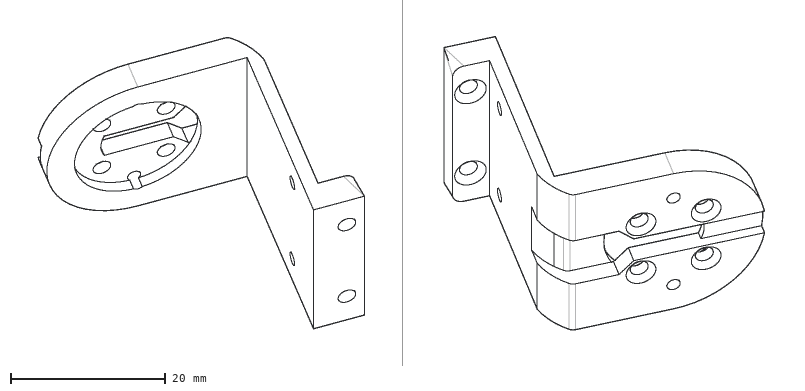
import cadquery as cq
import math

length_x = 30.6
length_y = 34.5
height = 25.0

plate = 4.0
web = 2.0
web_back = 29.5
web_front = web_back - web
bend_start = 26.22
bend_end = 5.0
bend_radius = 10.0
bend_edge_fillet = 1.2
end_radius = height / 2

small_hole = 1.8
screw_hole = 2.4
small_hole_z = 8.0
plate_screw_offset = 4.4
plate_sink = 4.05
web_hole_x = 22.1
lip_screw_y = 32.1
lip_screw_z = 7.52
lip_sink = 4.28
sink_angle = 90

wide_groove = 8.0
narrow_groove = wide_groove / 2
deep_depth = 2.5
shallow_depth = 1.35
taper_start = 19.9
taper_end = taper_start - (wide_groove - narrow_groove) / 2
hub_radius = 4.55
recess_radius = 8.7

lip_corner_radius = 1.52
corner_tip_scale = 0.01


def bend_middle():
    """Point halfway along the convex bend arc."""
    rise = web_back - bend_start
    chord = math.hypot(bend_end, rise)
    bulge = bend_radius - math.sqrt(bend_radius**2 - (chord / 2) ** 2)
    return (bend_end / 2 - bulge * rise / chord, bend_start + rise / 2 + bulge * bend_end / chord)


def make_body():
    """L-shaped profile with its lip, extruded over the full height."""
    body = (
        cq.Workplane("XY").workplane(offset=-height / 2)
        .moveTo(0, 0)
        .lineTo(plate, 0)
        .lineTo(plate, web_front)
        .lineTo(length_x, web_front)
        .lineTo(length_x, length_y)
        .lineTo(length_x - plate, length_y)
        .lineTo(length_x - plate, web_back)
        .lineTo(bend_end, web_back)
        .threePointArc(bend_middle(), (0, bend_start))
        .close()
        .extrude(height)
    )
    bend_edge = cq.selectors.NearestToPointSelector((0, bend_start, 0))
    return body.edges(bend_edge).fillet(bend_edge_fillet)


def box_between(x0, x1, y0, y1, z_size):
    """Box centred on Z = 0."""
    corner = cq.Workplane("XY", origin=(x0, y0, 0))
    return corner.box(x1 - x0, y1 - y0, z_size, centered=(False, False, True))


def disc_along_x(radius, y, z, x0, x1):
    """Cylinder parallel to X."""
    return cq.Workplane("YZ", origin=(x0, y, z)).circle(radius).extrude(x1 - x0)


def round_plate_end(body):
    square_end = box_between(0, plate, 0, end_radius, height)
    return body.cut(square_end.cut(disc_along_x(end_radius, end_radius, 0, 0, plate)))


def cut_grooves(body, bend_profile):
    """Shallow groove at the round end, deep tapered groove running up through the bend."""
    body = body.cut(box_between(0, shallow_depth, 0, end_radius, narrow_groove))
    hub = disc_along_x(hub_radius, end_radius, 0, 0, deep_depth)
    body = body.cut(hub.intersect(box_between(0, deep_depth, 0, end_radius, narrow_groove)))
    deep_outline = [
        (end_radius, narrow_groove / 2),
        (taper_end, narrow_groove / 2),
        (taper_start, wide_groove / 2),
        (web_back, wide_groove / 2),
        (web_back, -wide_groove / 2),
        (taper_start, -wide_groove / 2),
        (taper_end, -narrow_groove / 2),
        (end_radius, -narrow_groove / 2),
    ]
    deep = cq.Workplane("YZ").polyline(deep_outline).close().extrude(deep_depth + bend_end)
    return body.cut(deep.cut(bend_profile.translate((deep_depth, 0, 0))))


def cut_recess(body):
    return body.cut(disc_along_x(recess_radius, end_radius, 0, deep_depth, plate))


def screw_holes(body, face_x, points, sink):
    """Countersunk holes through a wall whose open face lies at face_x and looks along -X."""
    face = cq.Plane(origin=(face_x, 0, 0), xDir=(0, -1, 0), normal=(-1, 0, 0))
    tool_points = [(-y, z) for y, z in points]
    sink_depth = (sink - screw_hole) / 2 / math.tan(math.radians(sink_angle / 2))
    body = body.cut(cq.Workplane(face).pushPoints(tool_points).circle(screw_hole / 2).extrude(-plate))
    for y, z in points:
        cone = cq.Solid.makeCone(
            sink / 2, screw_hole / 2, sink_depth, cq.Vector(face_x, y, z), cq.Vector(1, 0, 0)
        )
        body = body.cut(cq.Workplane(cone))
    return body


def cut_small_holes(body):
    for z in (-small_hole_z, small_hole_z):
        body = body.cut(disc_along_x(small_hole / 2, end_radius, z, 0, plate))
        web_hole = cq.Workplane("XZ", origin=(web_hole_x, web_back, z)).circle(small_hole / 2).extrude(web)
        body = body.cut(web_hole)
    return body


def corner_section(plane_x, radius):
    """Wire between the lip's square upper corner and a quarter round of the given radius."""
    inset = radius * (1 - math.sqrt(0.5))
    top = height / 2
    return (
        cq.Workplane("YZ", origin=(plane_x, 0, 0))
        .moveTo(length_y, top)
        .lineTo(length_y - radius, top)
        .threePointArc((length_y - inset, top - inset), (length_y, top - radius))
        .close()
        .val()
    )


def round_lip_corners(body):
    """Corner rounds fading from full radius on the lip's -X face to nothing on +X."""
    wide = corner_section(length_x - plate, lip_corner_radius)
    tip = corner_section(length_x, lip_corner_radius * corner_tip_scale)
    corner = cq.Workplane(cq.Solid.makeLoft([wide, tip], True))
    return body.cut(corner).cut(corner.mirror("XY"))


blank = make_body()
result = cut_grooves(round_plate_end(blank), blank)
result = cut_recess(result)
plate_screws = [
    (end_radius + side_y * plate_screw_offset, side_z * plate_screw_offset)
    for side_y in (-1, 1)
    for side_z in (-1, 1)
]
lip_screws = [(lip_screw_y, -lip_screw_z), (lip_screw_y, lip_screw_z)]
result = screw_holes(result, 0, plate_screws, plate_sink)
result = screw_holes(result, length_x - plate, lip_screws, lip_sink)
result = cut_small_holes(result)
result = round_lip_corners(result)